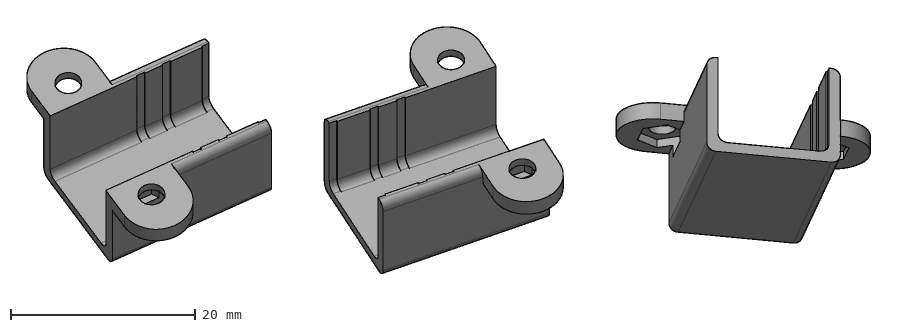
import cadquery as cq
import math

total_width = 28.0
length = 20.0
height = 11.4

channel_width = 14.8
inner_width = 12.0
floor_thickness = 1.2
edge_radius = 1.0

ear_depth = 8.0
ear_thickness = 2.0
hole_diameter = 2.9
hole_spacing = 17.98
hole_y = ear_depth / 2

nut_across_flats = 4.85
nut_ceiling_thickness = 1.0
nut_drop = 1.4

groove_depth = 0.15
groove_width = 1.0
first_groove_distance = 4.87
second_groove_distance = 8.1
rear_groove_width = 0.9


def box(width, depth, tall, y_start, z_start):
    """Box centred on X, starting at the given Y and Z."""
    return cq.Workplane("XY").box(width, depth, tall, centered=(True, False, False)).translate(
        (0, y_start, z_start)
    )


def rounded_cavity(width, depth, y_start):
    """Open-topped channel space with rounded lower edges."""
    cavity = box(width, depth, height, y_start, floor_thickness)
    return cavity.edges("|Y and <Z").fillet(edge_radius)


body = box(channel_width, length, height, 0, 0).edges("|Y").fillet(edge_radius)

ears = (
    cq.Workplane("XY", origin=(0, hole_y, height - ear_thickness))
    .slot2D(total_width, ear_depth)
    .extrude(ear_thickness)
)
body = body.union(ears)

body = body.cut(rounded_cavity(inner_width, length, 0))
grooves = [
    (length - rear_groove_width, rear_groove_width),
    (length - first_groove_distance - groove_width, groove_width),
    (length - second_groove_distance - groove_width, groove_width),
]
for groove_y, width_along_y in grooves:
    body = body.cut(rounded_cavity(inner_width + 2 * groove_depth, width_along_y, groove_y))

nut_corner_diameter = nut_across_flats / math.cos(math.pi / 6)
for side in (-1, 1):
    hole_x = side * hole_spacing / 2
    hole = (
        cq.Workplane("XY", origin=(hole_x, hole_y, height - ear_thickness))
        .circle(hole_diameter / 2)
        .extrude(ear_thickness)
    )
    nut = (
        cq.Workplane("XY", origin=(hole_x, hole_y, height - ear_thickness - nut_drop))
        .transformed(rotate=(0, 0, 30))
        .polygon(6, nut_corner_diameter)
        .extrude(nut_drop + ear_thickness - nut_ceiling_thickness)
    )
    body = body.cut(hole).cut(nut)

result = body